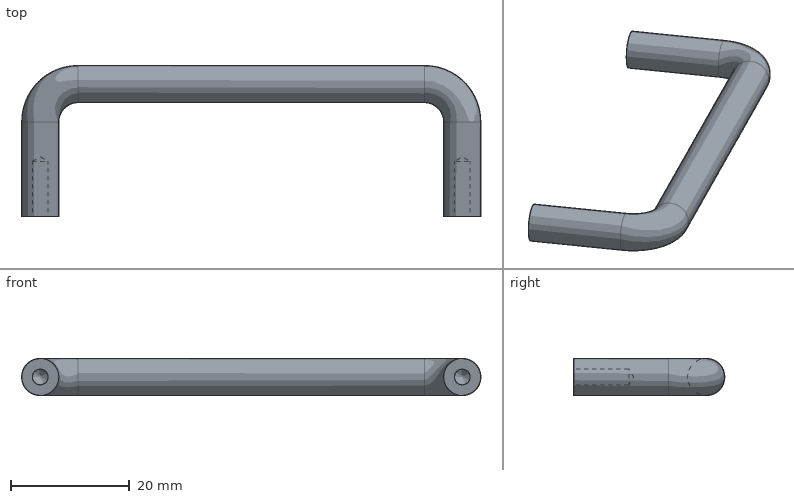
import cadquery as cq
import math

overall_length = 77.4
overall_reach = 25.5
rod_diameter = 6.3
bend_inner_radius = 3.25
hole_diameter = 2.6
hole_depth = 9.3
drill_tip_angle = 118.0

rod_radius = rod_diameter / 2
bend_radius = bend_inner_radius + rod_radius
leg_x = overall_length / 2 - rod_radius
grip_y = overall_reach - rod_radius
bend_start_y = grip_y - bend_radius
bend_end_x = leg_x - bend_radius


def make_rod():
    """Sweep the round section along one leg, the grip and the other leg."""
    centreline = (
        cq.Workplane("XY")
        .moveTo(-leg_x, 0)
        .lineTo(-leg_x, bend_start_y)
        .tangentArcPoint((-bend_end_x, grip_y), relative=False)
        .lineTo(bend_end_x, grip_y)
        .tangentArcPoint((leg_x, bend_start_y), relative=False)
        .lineTo(leg_x, 0)
    )
    section = cq.Workplane("XZ", origin=(-leg_x, 0, 0)).circle(rod_radius)
    return section.sweep(centreline)


def drill_leg_ends(rod):
    """Drill a mounting hole with a conical bottom up the axis of each leg."""
    hole_radius = hole_diameter / 2
    hole = cq.Solid.makeCylinder(hole_radius, hole_depth)
    tip_height = hole_radius / math.tan(math.radians(drill_tip_angle / 2))
    tip = cq.Solid.makeCone(hole_radius, 0, tip_height, cq.Vector(0, 0, hole_depth))
    drill = hole.fuse(tip).rotate(cq.Vector(0, 0, 0), cq.Vector(1, 0, 0), -90)
    for x in (-leg_x, leg_x):
        rod = rod.cut(cq.Workplane(drill.translate(cq.Vector(x, 0, 0))))
    return rod


result = drill_leg_ends(make_rod())